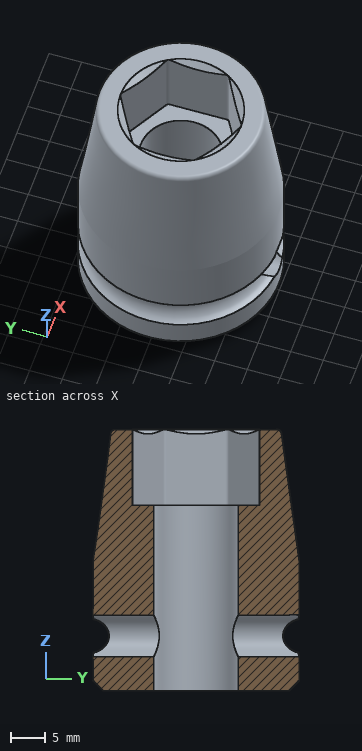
import cadquery as cq
import math

body_diameter = 30.0
body_height = 38.0
base_chamfer = 1.5

nose_start_z = 19.0
nose_diameter = 24.7
rim_fillet = 0.7

groove_z = 8.0
groove_width = 4.8
groove_depth = 2.0
pin_hole_diameter = 6.0

hex_across_flats = 16.1
hex_depth = 11.0
hex_corner_radius = 0.6
lead_in_diameter = 18.4
lead_in_slope = 30.0
bore_diameter = 12.25

body_radius = body_diameter / 2
hex_across_corners = hex_across_flats / math.cos(math.radians(30))


def make_body():
    """Revolve the outer outline: chamfered base, round groove and tapered nose."""
    nose_radius = nose_diameter / 2
    outline = (
        cq.Workplane("YZ")
        .moveTo(0, 0)
        .lineTo(body_radius - base_chamfer, 0)
        .lineTo(body_radius, base_chamfer)
        .lineTo(body_radius, groove_z - groove_width / 2)
        .threePointArc(
            (body_radius - groove_depth, groove_z),
            (body_radius, groove_z + groove_width / 2),
        )
        .lineTo(body_radius, nose_start_z)
        .lineTo(nose_radius, body_height)
        .lineTo(0, body_height)
        .close()
    )
    body = outline.revolve(360, (0, 0, 0), (0, 1, 0))
    return body.faces(">Z").edges().fillet(rim_fillet)


def make_hex_recess():
    """Hexagonal prism with two corners on the Y axis and rounded corners."""
    return (
        cq.Workplane("XY")
        .workplane(offset=body_height - hex_depth)
        .transformed(rotate=(0, 0, 90))
        .polygon(6, hex_across_corners)
        .extrude(hex_depth)
        .edges("|Z")
        .fillet(hex_corner_radius)
    )


def make_lead_in():
    """Full cone, point down, that opens the mouth of the hexagon."""
    lead_in_radius = lead_in_diameter / 2
    cone_height = lead_in_radius * math.tan(math.radians(lead_in_slope))
    return (
        cq.Workplane("XZ")
        .moveTo(0, body_height)
        .lineTo(lead_in_radius, body_height)
        .lineTo(0, body_height - cone_height)
        .close()
        .revolve(360, (0, 0, 0), (0, 1, 0))
    )


def make_bore():
    """Round bore running through the full height."""
    return cq.Workplane("XY").circle(bore_diameter / 2).extrude(body_height)


def make_pin_hole():
    """Hole along Y, through both walls at the groove."""
    return (
        cq.Workplane("XZ")
        .center(0, groove_z)
        .circle(pin_hole_diameter / 2)
        .extrude(body_radius, both=True)
    )


result = (
    make_body()
    .cut(make_hex_recess())
    .cut(make_lead_in())
    .cut(make_bore())
    .cut(make_pin_hole())
)